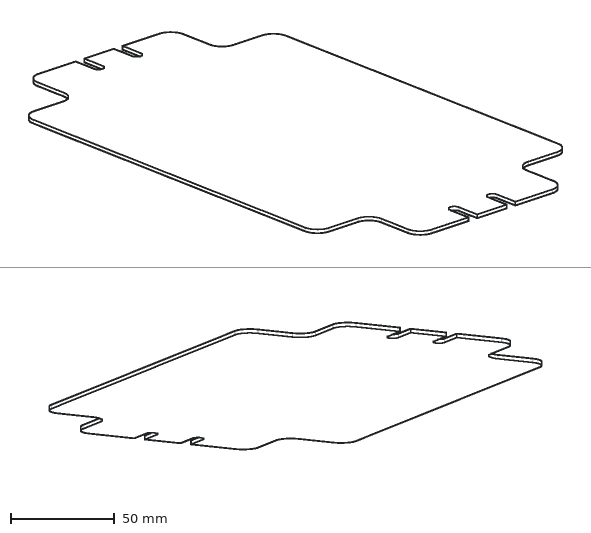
import cadquery as cq

length = 280.0
width = 165.0
thickness = 2.0

body_length = 210.0
tab_width = 95.0
corner_radius = 8.0

slot_width = 5.5
slot_depth = 16.0
slot_spacing = 25.0


def cross_plate():
    """Wide body crossed by a long, narrower strip, with every corner rounded."""
    body = cq.Workplane("XY").box(body_length, width, thickness)
    strip = cq.Workplane("XY").box(length, tab_width, thickness)
    return body.union(strip).edges("|Z").fillet(corner_radius)


def end_slots():
    """Slots centred on the end edges, so that half of each lies in the plate."""
    end_x = length / 2
    slot_y = slot_spacing / 2
    centers = [(x, y) for x in (-end_x, end_x) for y in (-slot_y, slot_y)]
    return (
        cq.Workplane("XY")
        .workplane(offset=-thickness / 2)
        .pushPoints(centers)
        .slot2D(2 * slot_depth, slot_width)
        .extrude(thickness)
    )


result = cross_plate().cut(end_slots())